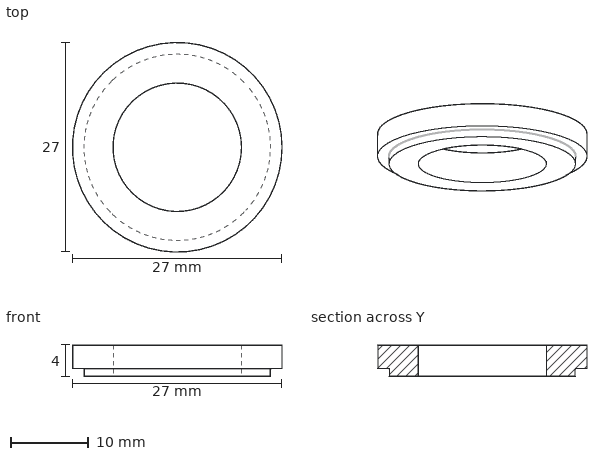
import cadquery as cq

FLANGE_DIAMETER = 27.0
SPIGOT_DIAMETER = 24.0
BORE_DIAMETER = 16.5
TOTAL_HEIGHT = 4.0
SPIGOT_HEIGHT = 1.0
CORNER_FILLET_RADIUS = 0.1

FLANGE_HEIGHT = TOTAL_HEIGHT - SPIGOT_HEIGHT


def ring(outer_diameter, height, base_z):
    """Ring around the Z axis, bored through, with its lower face at base_z."""
    return (
        cq.Workplane("XY")
        .workplane(offset=base_z)
        .circle(outer_diameter / 2)
        .circle(BORE_DIAMETER / 2)
        .extrude(height)
    )


def fillet_inner_corner(body):
    """Round the inner corner where the spigot meets the underside of the flange."""
    spigot_radius_edges = body.edges(cq.selectors.RadiusNthSelector(1))
    return spigot_radius_edges.edges(">Z").fillet(CORNER_FILLET_RADIUS)


spigot = ring(SPIGOT_DIAMETER, SPIGOT_HEIGHT, 0)
flange = ring(FLANGE_DIAMETER, FLANGE_HEIGHT, SPIGOT_HEIGHT)

result = fillet_inner_corner(spigot.union(flange))